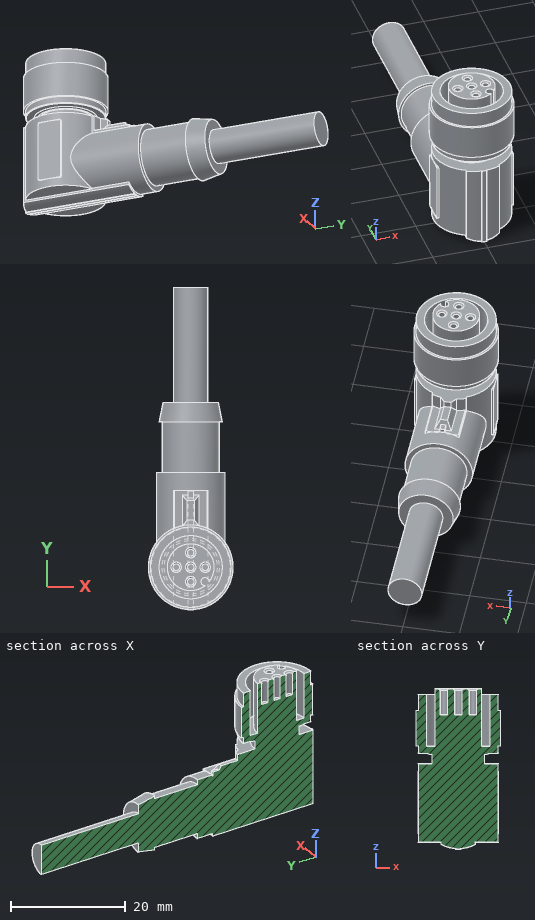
import cadquery as cq
import math


total_height = 28.0
nut_top = 27.0
band_top = 24.25
band_bottom = 18.0
nut_bottom = 16.7
collar_bottom = 16.55
body_top = 14.95
body_bottom = 1.25
groove_floor = 18.0
cable_axis_height = 6.5

band_diameter = 14.8
nut_diameter = 14.0
nut_bore = 11.0
nut_edge_chamfer = 0.1
collar_top_diameter = 11.0
collar_bottom_diameter = 10.0
neck_diameter = 9.3
insert_diameter = 8.15

contact_pitch_radius = 2.55
contact_mouth_diameter = 1.8
contact_mouth_depth = 0.3
contact_bore = 1.2
contact_depth = 4.5
key_diameter = 1.4
key_center_radius = 3.55
key_angle = -45

total_length = 56.25
ribbon_front = 7.5
cable_end = total_length - ribbon_front
outlet_end = 16.55
sleeve_end = 25.3
flare_end = 28.75
outlet_diameter = 12.0
sleeve_diameter = 10.0
flare_diameters = (11.0, 9.7)
cable_diameter = 6.0

ridge_width = 6.0
ridge_end = 13.4
ridge_outlet_radius = 6.4
ridge_flat_height = 12.25
ridge_body_radius = 7.35
ribbon_width = 0.9
ribbon_end = 13.3

rib_base_width = 2.9
rib_top_width = 1.25
rib_top_height = 13.8
rib_base_back = 7.15
rib_top_back = 8.2
rib_base_end = 12.55
rib_top_end = 11.6

pad_width = 4.3
pad_bottom = 2.75
pad_top = 13.6
pad_corner = 0.3


def upright(diameter, bottom, top):
    """Cylinder on the Z axis."""
    return cq.Workplane("XY").workplane(offset=bottom).circle(diameter / 2).extrude(top - bottom)


def along_cable(diameter, start, end):
    """Cylinder on the cable axis."""
    plane = cq.Plane(origin=(0, start, cable_axis_height), xDir=(1, 0, 0), normal=(0, 1, 0))
    return cq.Workplane(plane).circle(diameter / 2).extrude(end - start)


def block(width, y_min, y_max, z_min, z_max):
    """Box centred on X = 0."""
    box = cq.Workplane("XY").box(width, y_max - y_min, z_max - z_min, centered=(True, False, False))
    return box.translate((0, y_min, z_min))


def make_nut():
    edge = upright(nut_diameter, nut_bottom, nut_top).faces("<Z").chamfer(nut_edge_chamfer)
    nut = edge.union(upright(band_diameter, band_bottom, band_top))
    nut = nut.cut(upright(nut_bore, groove_floor, nut_top))
    collar = (
        cq.Workplane("XY").workplane(offset=collar_bottom).circle(collar_bottom_diameter / 2)
        .workplane(offset=nut_bottom - collar_bottom).circle(collar_top_diameter / 2).loft()
    )
    return nut.union(collar).union(upright(neck_diameter, body_top, nut_bottom))


def make_insert():
    insert = upright(insert_diameter, groove_floor, total_height)
    contacts = [(0, 0)]
    for quarter in range(4):
        angle = math.radians(90 * quarter)
        contacts.append((contact_pitch_radius * math.cos(angle), contact_pitch_radius * math.sin(angle)))
    top = cq.Workplane("XY").workplane(offset=total_height)
    insert = insert.cut(top.pushPoints(contacts).circle(contact_bore / 2).extrude(-contact_depth))
    mouth = cq.Workplane(cq.Solid.makeCone(contact_bore / 2, contact_mouth_diameter / 2, contact_mouth_depth))
    for x, y in contacts:
        insert = insert.cut(mouth.translate((x, y, total_height - contact_mouth_depth)))
    angle = math.radians(key_angle)
    key_center = (key_center_radius * math.cos(angle), key_center_radius * math.sin(angle))
    key = upright(key_diameter, groove_floor, total_height).translate((*key_center, 0))
    return insert.cut(key)


def make_outlet():
    outlet = along_cable(outlet_diameter, 0, outlet_end)
    sleeve = along_cable(sleeve_diameter, outlet_end, sleeve_end)
    cable = along_cable(cable_diameter, flare_end, cable_end)
    flare_plane = cq.Plane(origin=(0, sleeve_end, cable_axis_height), xDir=(1, 0, 0), normal=(0, 1, 0))
    flare = (
        cq.Workplane(flare_plane).circle(flare_diameters[0] / 2)
        .workplane(offset=flare_end - sleeve_end).circle(flare_diameters[1] / 2).loft()
    )
    ridge_seat = block(ridge_width, 0, ridge_end, ridge_flat_height, body_top)
    outlet = outlet.cut(ridge_seat)
    return outlet.union(sleeve).union(flare).union(cable)


def make_elbow_strip(width, outlet_radius, outlet_top, upright_radius, end):
    """Raised strip over the outlet and around the front, underside and back of the body.

    Over the outlet the strip is cut flat at outlet_top.
    """
    tube = along_cable(2 * outlet_radius, -upright_radius, end)
    envelope = tube.union(block(2 * outlet_radius, -upright_radius, end, cable_axis_height, body_top))
    post = upright(2 * upright_radius, 0, body_top).intersect(envelope)
    outlet_part = tube.intersect(block(width, 0, end, 0, outlet_top))
    post_part = post.intersect(block(width, -upright_radius, upright_radius, 0, body_top))
    return outlet_part.union(post_part)


def make_corner_rib():
    """L-shaped rib with sloping sides, mitred at the corner and sloped at its end."""
    mid_plane_path = [
        (0, 0), (ridge_end, 0), (rib_base_end, ridge_flat_height), (rib_top_end, rib_top_height),
        (rib_top_back, rib_top_height), (rib_top_back, body_top), (0, body_top),
    ]
    side = cq.Workplane("YZ").polyline(mid_plane_path).close().extrude(rib_base_width / 2, both=True)
    half_base = rib_base_width / 2
    half_top = rib_top_width / 2
    section = [
        (-half_base, ridge_flat_height), (half_base, ridge_flat_height),
        (half_top, rib_top_height), (-half_top, rib_top_height),
    ]
    over_outlet = cq.Workplane("XZ").polyline(section).close().extrude(-rib_base_end)
    plan = [
        (-half_base, rib_base_back), (-half_base, 0), (half_base, 0), (half_base, rib_base_back),
        (half_top, rib_top_back), (-half_top, rib_top_back),
    ]
    up_body = (
        cq.Workplane("XY").workplane(offset=cable_axis_height).polyline(plan).close()
        .extrude(body_top - cable_axis_height)
    )
    return over_outlet.union(up_body).intersect(side)


def make_pads():
    pads = cq.Workplane("XY").box(nut_diameter, pad_width, pad_top - pad_bottom)
    return pads.edges("|X").fillet(pad_corner).translate((0, 0, (pad_bottom + pad_top) / 2))


result = (
    upright(nut_diameter, body_bottom, body_top)
    .union(make_outlet())
    .union(make_elbow_strip(ridge_width, ridge_outlet_radius, ridge_flat_height, ridge_body_radius, ridge_end))
    .union(make_elbow_strip(ribbon_width, cable_axis_height, 2 * cable_axis_height, ribbon_front, ribbon_end))
    .union(make_corner_rib())
    .union(make_pads())
    .union(make_nut())
    .union(make_insert())
)